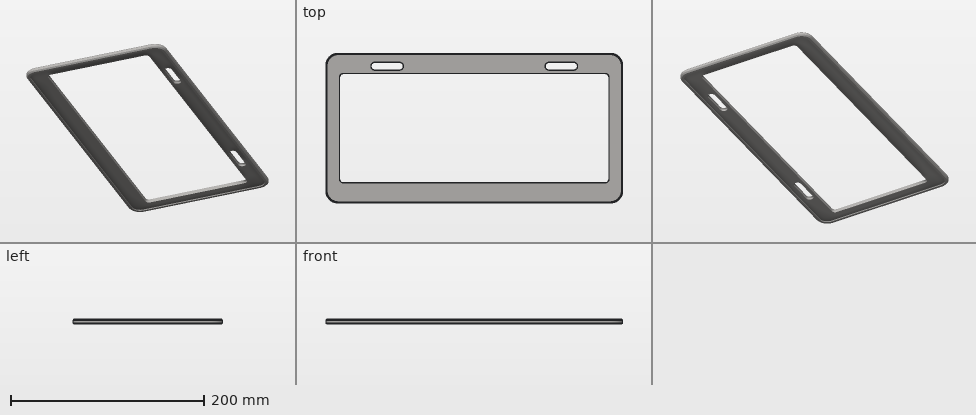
import cadquery as cq

length = 307.34
width = 154.94
thickness = 5.08
corner_radius = 12.7
edge_chamfer = 1.27

wall_thickness = 3.81
recess_depth = thickness - wall_thickness
recess_length = length - 2 * wall_thickness
recess_width = width - 2 * wall_thickness
recess_corner_radius = corner_radius - wall_thickness

window_length = 278.765
window_width = 112.903
window_corner_radius = 3.96875

slot_width = 7.9375
slot_travel = 25.4
slot_length = slot_travel + slot_width
slot_spacing = 180.34
slot_offset_y = 64.135


def rounded_block(size_x, size_y, radius, height):
    """Centred rectangular block with rounded vertical corners, standing on Z = 0."""
    block = cq.Workplane("XY").rect(size_x, size_y).extrude(height)
    return block.edges("|Z").fillet(radius)


def make_plate():
    """Rounded plate with its top and bottom outer edges chamfered."""
    plate = rounded_block(length, width, corner_radius, thickness)
    return plate.faces("<Z or >Z").edges().chamfer(edge_chamfer)


def make_recess():
    """Cutter for the shallow recess in the underside."""
    return rounded_block(recess_length, recess_width, recess_corner_radius, recess_depth)


def make_window():
    """Through-cutter for the central window."""
    return rounded_block(window_length, window_width, window_corner_radius, thickness)


def make_slots():
    """Through-cutters for the two round-ended mounting slots."""
    slot_centers = [(side * slot_spacing / 2, slot_offset_y) for side in (-1, 1)]
    slots = cq.Workplane("XY").pushPoints(slot_centers)
    return slots.slot2D(slot_length, slot_width).extrude(thickness)


result = make_plate().cut(make_recess()).cut(make_window()).cut(make_slots())